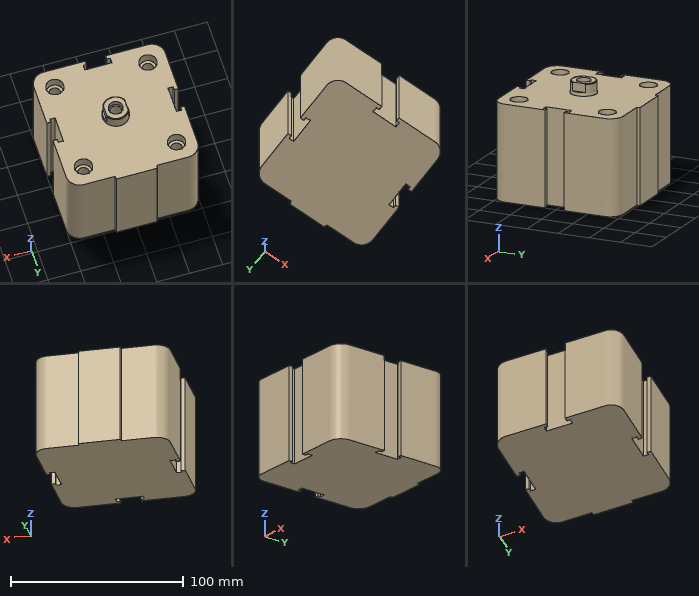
import cadquery as cq

overall_length = 82.0

housing_width = 80.0
housing_height = 59.95
corner_radius = 8.2

side_rib_height = overall_length - housing_width
side_rib_width = 25.75
side_rib_taper = 0.5

slot_mouth_width = 12.3
slot_inner_width = 16.4
slot_lip_thickness = 2.55
slot_depth = 5.65

screw_spacing = 56.6
screw_head_diameter = 10.5
screw_head_depth = 6.6
screw_thread_diameter = 6.65
screw_thread_depth = 8.2

rod_diameter = 16.0
rod_end_diameter = 15.6
rod_top = 67.5
rod_bore_depth = 14.8
rod_bottom = housing_height - rod_bore_depth
exposed_rod_height = 0.65
taper_height = 0.65
taper_start = housing_height + exposed_rod_height
taper_end = taper_start + taper_height
rod_chamfer = 0.5

flat_spacing = 13.0
flat_height = 5.3
rod_recess_diameter = 8.5
rod_recess_depth = 3.3
rod_thread_diameter = 6.65
rod_thread_depth = 9.8


def cylinder(diameter, bottom, top):
    """Upright cylinder on the Z axis between two heights."""
    return cq.Workplane("XY").workplane(offset=bottom).circle(diameter / 2).extrude(top - bottom)


def stepped_hole(top, wide_diameter, wide_depth, narrow_diameter, narrow_depth):
    """Cutter on the Z axis; its narrow part starts at the floor of the wide part."""
    floor = top - wide_depth
    wide = cylinder(wide_diameter, floor, top)
    return wide.union(cylinder(narrow_diameter, floor - narrow_depth, floor))


def side_rib():
    """Low rib with slanted flanks, centred on the +Y side over the full height."""
    half_base = side_rib_width / 2
    half_tip = half_base - side_rib_taper
    side = housing_width / 2
    tip = side + side_rib_height
    outline = cq.Workplane("XY").moveTo(-half_base, 0).lineTo(-half_base, side).lineTo(-half_tip, tip)
    outline = outline.lineTo(half_tip, tip).lineTo(half_base, side).lineTo(half_base, 0)
    return outline.close().extrude(housing_height)


def t_slot():
    """Cutter for a T-slot on the -Y side over the full height."""
    side = -housing_width / 2
    groove_depth = slot_depth - slot_lip_thickness
    mouth = cq.Workplane("XY").center(0, side + slot_depth / 2).rect(slot_mouth_width, slot_depth)
    groove = cq.Workplane("XY").center(0, side + slot_depth - groove_depth / 2)
    groove = groove.rect(slot_inner_width, groove_depth)
    return mouth.extrude(housing_height).union(groove.extrude(housing_height))


def make_housing():
    """Block with rounded corners, side rib, T-slots, corner holes and a blind bore for the rod."""
    block = cq.Workplane("XY").rect(housing_width, housing_width).extrude(housing_height)
    body = block.edges("|Z").fillet(corner_radius).union(side_rib())

    slot = t_slot()
    for angle in (-90, 0, 90):
        body = body.cut(slot.rotate((0, 0, 0), (0, 0, 1), angle))

    screw_hole = stepped_hole(
        housing_height, screw_head_diameter, screw_head_depth, screw_thread_diameter, screw_thread_depth
    )
    for x_sign in (-1, 1):
        for y_sign in (-1, 1):
            corner = (x_sign * screw_spacing / 2, y_sign * screw_spacing / 2, 0)
            body = body.cut(screw_hole.translate(corner))

    return body.cut(cylinder(rod_diameter, rod_bottom, housing_height))


def make_rod():
    """Turned rod with two wrench flats and a stepped blind hole in its end."""
    radius = rod_diameter / 2
    end_radius = rod_end_diameter / 2
    profile = cq.Workplane("XZ").moveTo(0, rod_bottom).lineTo(radius, rod_bottom)
    profile = profile.lineTo(radius, taper_start).lineTo(end_radius, taper_end)
    profile = profile.lineTo(end_radius, rod_top - rod_chamfer).lineTo(end_radius - rod_chamfer, rod_top)
    rod = profile.lineTo(0, rod_top).close().revolve(360, (0, 0, 0), (0, 1, 0))

    flats = cq.Workplane("XY").workplane(offset=rod_top - flat_height).rect(rod_diameter, rod_diameter)
    rod = rod.cut(flats.rect(flat_spacing, rod_diameter).extrude(flat_height))

    return rod.cut(
        stepped_hole(rod_top, rod_recess_diameter, rod_recess_depth, rod_thread_diameter, rod_thread_depth)
    )


housing = make_housing()
rod = make_rod()

result = cq.Compound.makeCompound([housing.solids().val(), rod.solids().val()])